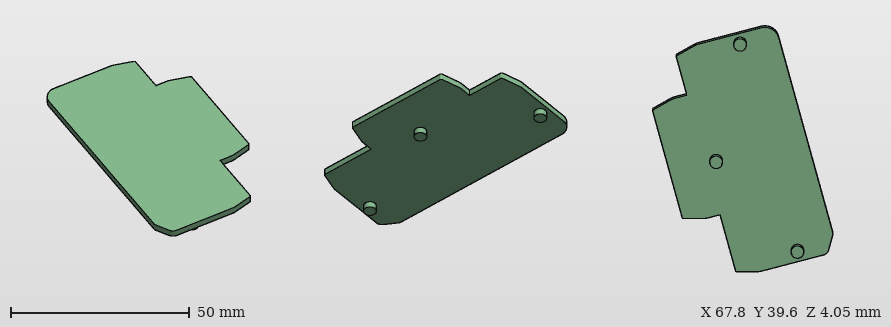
import cadquery as cq
import math

length = 67.8
depth = 39.6
plate_thickness = 2.05
base_depth = 29.15
block_left = 13.35
block_right = 49.1

taper_angle = 15.0
taper_depth = 6.4
taper_shift = taper_depth * math.tan(math.radians(taper_angle))

slope_angle = 30.0
slope_length_x = 5.1
slope_depth = slope_length_x * math.tan(math.radians(slope_angle))

front_left_radius = 4.0
slope_start_radius = 1.5
slope_end_radius = 2.05
taper_start_radius = 5.0
tip_radius = 0.5

peg_diameter = 3.6
peg_height = 2.0
left_peg_x = 2.8
right_peg_x = 64.6
outer_peg_y = 10.85
middle_peg_x = 33.7
middle_peg_y = 26.1

slope_start = (length - slope_length_x, 0)
slope_end = (length, slope_depth)


def shoulder(side_x, back_y, inward):
    """Taper start and tip of a shoulder; inward is the X sign of the taper."""
    start = (side_x, back_y - taper_depth)
    tip = (side_x + inward * taper_shift, back_y)
    return start, tip


right_start, right_tip = shoulder(length, base_depth, -1)
block_right_start, block_right_tip = shoulder(block_right, depth, -1)
block_left_start, block_left_tip = shoulder(block_left, depth, 1)
left_start, left_tip = shoulder(0, base_depth, 1)


def round_corners(body, corners, radius):
    """Round the upright plate edges standing at the given corners."""
    for x, y in corners:
        edge = cq.selectors.NearestToPointSelector((x, y, plate_thickness / 2))
        body = body.edges("|Z").edges(edge).fillet(radius)
    return body


def make_plate():
    outline = [
        (0, 0),
        slope_start,
        slope_end,
        right_start,
        right_tip,
        (block_right, base_depth),
        block_right_start,
        block_right_tip,
        block_left_tip,
        block_left_start,
        (block_left, base_depth),
        left_tip,
        left_start,
    ]
    plate = cq.Workplane("XY").polyline(outline).close().extrude(plate_thickness)
    plate = round_corners(plate, [(0, 0)], front_left_radius)
    plate = round_corners(plate, [slope_start], slope_start_radius)
    plate = round_corners(plate, [slope_end], slope_end_radius)
    taper_starts = [right_start, block_right_start, block_left_start, left_start]
    plate = round_corners(plate, taper_starts, taper_start_radius)
    tips = [right_tip, block_right_tip, block_left_tip, left_tip]
    return round_corners(plate, tips, tip_radius)


def make_pegs():
    centers = [
        (left_peg_x, outer_peg_y),
        (middle_peg_x, middle_peg_y),
        (right_peg_x, outer_peg_y),
    ]
    return cq.Workplane("XY").pushPoints(centers).circle(peg_diameter / 2).extrude(-peg_height)


result = make_plate().union(make_pegs())